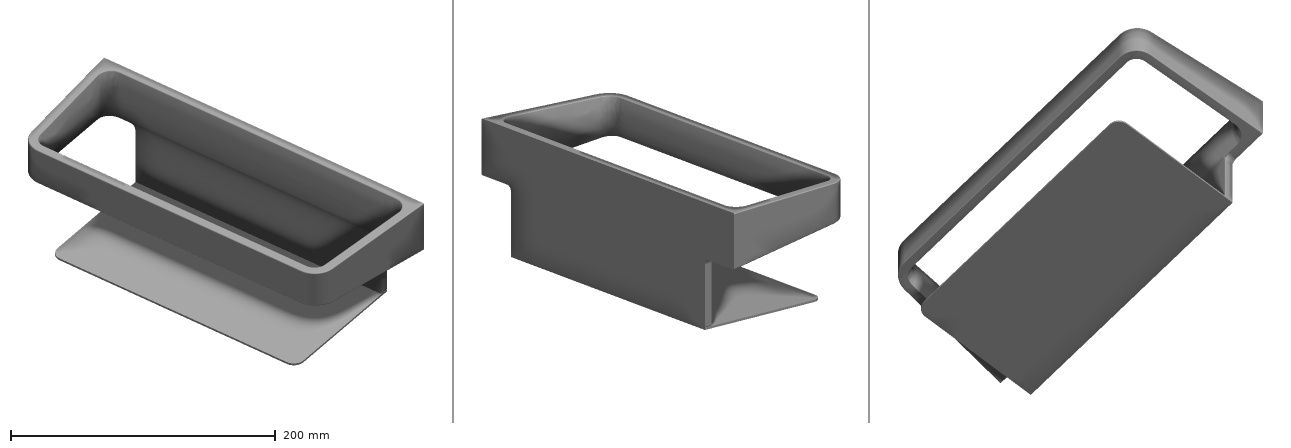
import cadquery as cq
import math


back_width = 300.2
front_width = 279.2
frame_depth = 121.0
back_height = 45.0
front_height = 31.5
outer_corner_radius = 18.0
edge_radius = 1.0
split_x = 120.0

edge_wall = 7.5
edge_back_corner_radius = 11.5
edge_front_corner_radius = outer_corner_radius - edge_wall
crest_wall_back = 12.3
crest_wall_side = 11.0
crest_wall_front = 10.2
crest_back_corner_radius = 7.8
crest_front_corner_radius = 9.0

total_height = 101.5
plate_width = 230.5
plate_thickness = 7.2
plate_root_radius = 4.5
plate_blend_height = 5.5

shelf_depth = 115.5
shelf_thickness = 1.8
shelf_corner_radius = 9.0

knee_depth = frame_depth - edge_wall
underside_slope = (back_height - front_height) / knee_depth
side_taper = (back_width - front_width) / 2 / frame_depth
side_angle = math.atan(side_taper)
plate_bottom = shelf_thickness - total_height


def underside_z(depth):
    """Height of the sloping part of the frame's underside."""
    return underside_slope * depth - back_height


def outer_half_width(depth):
    return back_width / 2 - side_taper * depth


def opening_section(back_wall, side_wall, front_wall, back_radius, front_radius, height_fraction):
    """Rounded trapezoid inside the ring, at a fraction of the way from top to underside."""
    back_depth = back_wall
    front_depth = frame_depth - front_wall
    side_inset = side_wall / math.cos(side_angle)
    back_half = outer_half_width(back_depth) - side_inset
    front_half = outer_half_width(front_depth) - side_inset
    back_z = height_fraction * underside_z(back_depth)
    front_z = height_fraction * underside_z(front_depth)
    tilt = math.atan2(front_z - back_z, front_depth - back_depth)
    length = (front_depth - back_depth) / math.cos(tilt)
    plane = cq.Plane(
        origin=(0, -back_depth, back_z),
        xDir=(1, 0, 0),
        normal=(0, math.sin(tilt), math.cos(tilt)),
    )
    outline = (
        cq.Sketch()
        .polygon([(-back_half, 0), (back_half, 0), (front_half, -length), (-front_half, -length),
                  (-back_half, 0)])
        .vertices(">Y").fillet(back_radius)
        .reset()
        .vertices("<Y").fillet(front_radius)
    )
    return outline.moved(cq.Location(plane))


def make_end_opening():
    """Waisted cutter whose sides are hollow, so that the walls of the ring bulge inwards."""
    edge = (edge_wall, edge_wall, edge_wall, edge_back_corner_radius, edge_front_corner_radius)
    crest = (crest_wall_back, crest_wall_side, crest_wall_front,
             crest_back_corner_radius, crest_front_corner_radius)
    sections = [
        opening_section(*edge, 0),
        opening_section(*crest, 0.5),
        opening_section(*edge, 1),
    ]
    return cq.Workplane().placeSketch(*sections).loft()


def bulge_radius(rise, height):
    """Radius of an arc that leaves the vertical at a crest and moves `rise` away over `height`."""
    return (rise ** 2 + height ** 2) / (2 * rise)


def make_straight_opening():
    """Prism between the two rails; each hollow side is two arcs that are tangent at its crest."""
    back_edge = edge_wall
    back_crest = crest_wall_back
    front_edge = knee_depth
    front_crest = frame_depth - crest_wall_front
    back_crest_z = underside_z(back_crest) / 2
    front_crest_z = underside_z(front_crest) / 2
    back_rise = back_crest - back_edge
    front_rise = front_edge - front_crest
    return (
        cq.Workplane("YZ")
        .moveTo(-back_edge, 0)
        .radiusArc((-back_crest, back_crest_z), -bulge_radius(back_rise, -back_crest_z))
        .radiusArc((-back_edge, underside_z(back_edge)),
                   -bulge_radius(back_rise, back_crest_z - underside_z(back_edge)))
        .lineTo(-front_edge, underside_z(front_edge))
        .radiusArc((-front_crest, front_crest_z),
                   -bulge_radius(front_rise, front_crest_z - underside_z(front_edge)))
        .radiusArc((-front_edge, 0), -bulge_radius(front_rise, -front_crest_z))
        .close()
        .extrude(back_width, both=True)
    )


def make_outer_block():
    """Rounded trapezoid with a sloping underside and softened top and bottom edges."""
    back_half = outer_half_width(0)
    front_half = outer_half_width(frame_depth)
    plan = (
        cq.Workplane("XY")
        .polyline([(-back_half, 0), (back_half, 0),
                   (front_half, -frame_depth), (-front_half, -frame_depth)])
        .close()
        .extrude(-back_height)
        .edges("|Z and <Y").fillet(outer_corner_radius)
    )
    side_shape = (
        cq.Workplane("YZ")
        .polyline([(0, 0), (-frame_depth, 0), (-frame_depth, -front_height),
                   (-knee_depth, -front_height), (0, -back_height)])
        .close()
        .extrude(back_width, both=True)
    )
    rim = cq.selectors.BoxSelector(
        (-back_width, -edge_radius, -total_height), (back_width, -2 * frame_depth, total_height)
    )
    knee = cq.selectors.NearestToPointSelector((0, -knee_depth, -front_height))
    return plan.intersect(side_shape).edges(rim - knee).edges("not |Z").fillet(edge_radius)


def box_between(x_min, x_max, depth_min, depth_max):
    """Box over the full height, used to take one piece out of the ring."""
    return cq.Workplane("XY").box(
        x_max - x_min, depth_max - depth_min, total_height, centered=False
    ).translate((x_min, -depth_max, -total_height))


def make_end_ring(block):
    """Ring with the rounded opening; its left and right parts become the frame ends."""
    ring = block.cut(make_end_opening())
    return ring.faces(">Z").edges("%BSPLINE").fillet(edge_radius)


def make_frame_end(end_ring, side):
    """One C-shaped end of the frame: side is -1 at the left and +1 at the right."""
    x_min, x_max = sorted((side * split_x, side * back_width))
    return end_ring.intersect(box_between(x_min, x_max, 0, frame_depth))


def make_front_rail(block):
    rail = block.intersect(box_between(-split_x, split_x, frame_depth / 2, frame_depth))
    rail = rail.cut(make_straight_opening())
    return rail.faces(">Z").edges(">Y").fillet(edge_radius)


def make_back_plate():
    """Plate whose front face blends out to the lower edge of the back rail."""
    rail_edge_z = underside_z(edge_wall)
    blend_lean = edge_wall - plate_thickness
    blend_radius = (plate_blend_height ** 2 + blend_lean ** 2) / (2 * blend_lean)
    blend_start_z = rail_edge_z - plate_blend_height
    half_angle = math.asin(plate_blend_height / blend_radius) / 2
    blend_middle = (
        -plate_thickness - blend_radius * (1 - math.cos(half_angle)),
        blend_start_z + blend_radius * math.sin(half_angle),
    )
    bottom_edges = cq.selectors.BoxSelector(
        (-plate_width, -edge_radius, plate_bottom - edge_radius),
        (plate_width, -2 * plate_thickness, plate_bottom + edge_radius),
    )
    return (
        cq.Workplane("YZ")
        .moveTo(0, -back_height)
        .lineTo(0, plate_bottom)
        .lineTo(-plate_thickness, plate_bottom)
        .lineTo(-plate_thickness, blend_start_z)
        .threePointArc(blend_middle, (-edge_wall, rail_edge_z))
        .close()
        .extrude(plate_width / 2, both=True)
        .edges("|Z").edges("<Y").fillet(edge_radius)
        .edges(bottom_edges).edges("not |Z").fillet(edge_radius)
    )


def make_plate_gusset(side):
    """Concave rounding between one side of the plate and the underside of the rail."""
    corner_x = side * plate_width / 2
    outline = (
        cq.Workplane("XZ")
        .moveTo(corner_x, -back_height)
        .lineTo(corner_x, -back_height - plate_root_radius)
        .radiusArc((corner_x + side * plate_root_radius, -back_height), side * plate_root_radius)
        .close()
        .wires().val()
    )
    along_underside = cq.Vector(0, -plate_thickness, underside_slope * plate_thickness)
    return cq.Workplane(cq.Solid.extrudeLinear(outline, [], along_underside))


def make_back_rail(block):
    """Straight back rail with the back plate hanging from it."""
    rail = block.intersect(box_between(-split_x, split_x, 0, frame_depth / 2))
    rail = rail.cut(make_straight_opening())
    rail = rail.faces(">Z").edges("<Y").fillet(edge_radius)
    rail = rail.union(make_back_plate())
    for side in (-1, 1):
        rail = rail.union(make_plate_gusset(side))
    return rail


def make_shelf():
    return (
        cq.Workplane("XY", origin=(0, 0, -total_height))
        .rect(plate_width, 2 * shelf_depth)
        .extrude(shelf_thickness)
        .edges("|Z and <Y").fillet(shelf_corner_radius)
        .intersect(box_between(-split_x, split_x, 0, shelf_depth))
    )


outer_block = make_outer_block()
end_ring = make_end_ring(outer_block)
frame_ends = [make_frame_end(end_ring, side) for side in (-1, 1)]
front_rail = make_front_rail(outer_block)
back_rail = make_back_rail(outer_block)
shelf = make_shelf()

result = cq.Compound.makeCompound(
    [*[end.val() for end in frame_ends], front_rail.val(), back_rail.val(), shelf.val()]
)